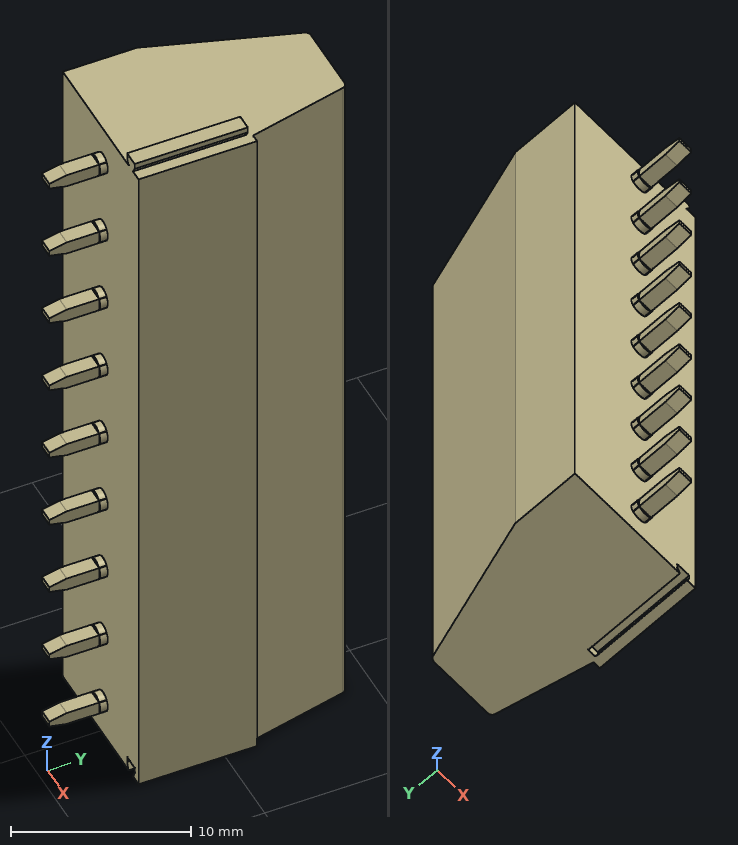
import cadquery as cq

poles = 9
total_height = 46.45
rail_height = 0.75
body_height = total_height - rail_height
pitch = body_height / poles
body_width = 9.8
body_depth = 13.75
left_wall_depth = 4.55
back_left_x = 2.97
back_right_x = 7.85
step_x = 9.3
step_depth = 7.3
back_corner_radius = 0.35

rail_left_x = 8.3
rail_width = 0.98
rail_neck_width = 0.55
rail_head_height = 0.35
rail_length = 6.95
groove_depth = 0.85

pin_x = 5.2
collar_diameter = 1.25
collar_length = 0.45
pin_length = 3.55
pin_width = 0.98
pin_thickness = 0.85
pin_tip_thickness = 0.35
pin_taper_length = 1.05

stud_x = 4.15
stud_base_diameter = 0.98
stud_tip_diameter = 0.45
stud_height = 0.4


def make_housing():
    return (
        cq.Workplane("XY")
        .moveTo(0, 0)
        .lineTo(body_width, 0)
        .lineTo(body_width, step_depth)
        .lineTo(step_x, step_depth)
        .lineTo(back_right_x, body_depth)
        .lineTo(back_left_x, body_depth)
        .lineTo(0, left_wall_depth)
        .close()
        .extrude(body_height)
        .edges("|Z and >Y")
        .fillet(back_corner_radius)
    )


def make_dovetail(base_z, height):
    """Bar along Y from the front face: narrow at base_z, with a straight wide head."""
    center_x = rail_left_x + rail_width / 2
    shoulder_z = base_z + height - rail_head_height
    top_z = base_z + height
    return (
        cq.Workplane("XZ")
        .moveTo(center_x - rail_neck_width / 2, base_z)
        .lineTo(center_x + rail_neck_width / 2, base_z)
        .lineTo(center_x + rail_width / 2, shoulder_z)
        .lineTo(center_x + rail_width / 2, top_z)
        .lineTo(center_x - rail_width / 2, top_z)
        .lineTo(center_x - rail_width / 2, shoulder_z)
        .close()
        .extrude(-rail_length)
    )


def make_pin(z):
    """Round collar and a flat blade with a wedge tip, pointing toward -Y."""
    collar = (
        cq.Workplane("XZ")
        .center(pin_x, z)
        .circle(collar_diameter / 2)
        .extrude(collar_length)
    )
    taper_y = pin_taper_length - pin_length
    blade = (
        cq.Workplane("YZ", origin=(pin_x, 0, z))
        .moveTo(0, -pin_thickness / 2)
        .lineTo(taper_y, -pin_thickness / 2)
        .lineTo(-pin_length, -pin_tip_thickness / 2)
        .lineTo(-pin_length, pin_tip_thickness / 2)
        .lineTo(taper_y, pin_thickness / 2)
        .lineTo(0, pin_thickness / 2)
        .close()
        .extrude(pin_width / 2, both=True)
    )
    return collar.union(blade)


def make_stud(z):
    """Truncated cone pointing toward +Y."""
    cone = cq.Solid.makeCone(
        stud_base_diameter / 2,
        stud_tip_diameter / 2,
        stud_height,
        pnt=cq.Vector(stud_x, body_depth, z),
        dir=cq.Vector(0, 1, 0),
    )
    return cq.Workplane(obj=cone)


result = make_housing()
result = result.union(make_dovetail(body_height, rail_height))
result = result.cut(make_dovetail(0, groove_depth))
for pole in range(poles):
    result = result.union(make_pin((pole + 0.5) * pitch))
for joint in range(1, poles):
    result = result.union(make_stud(joint * pitch))